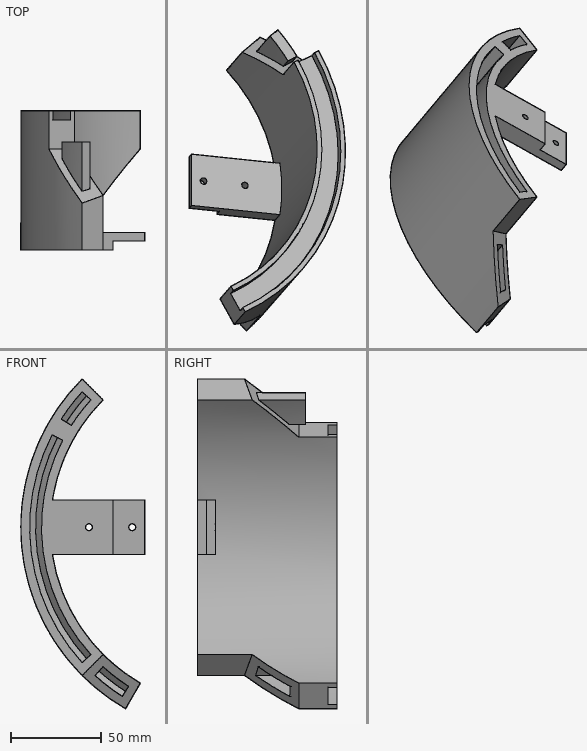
import cadquery as cq
import math

height = 183.2
length = 77.5
wall = 16.5
top_angle = 45
segment_span = 90
joint_span = 15
body_top = top_angle - joint_span
body_bottom = body_top - segment_span
recess_top = top_angle - segment_span

outer_radius = height / (math.sin(math.radians(top_angle)) - math.sin(math.radians(body_bottom)))
mid_radius = outer_radius - wall / 2

ramp_start = 56.2
ramp_angle = 45

slot_width = 6.6
slot_margin = 2.6
deep_slot_depth = 60.5
tab_slot_depth = 22.0

tongue_clearance = 0.2
tongue_width = slot_width - 2 * tongue_clearance
tongue_margin = 2.8
tongue_root = 29.3
tongue_end = 60.1

groove_width = 11.0
groove_depth = 5.1

bracket_width = 30.5
bracket_reach = 68.9
bracket_thickness = 9.9
step_reach = 51.3
step_depth = bracket_thickness / 2
hole_diameter = 3.7
hole_reaches = (38.0, 62.0)


def swept(profile, start_angle, end_angle):
    """Sweep (radius, y) points about the Y axis between two angles."""
    points = [(-radius, y) for radius, y in profile]
    solid = cq.Workplane("XY").polyline(points).close()
    solid = solid.revolve(end_angle - start_angle, (0, 0), (0, 1))
    return solid.rotate((0, 0, 0), (0, 1, 0), start_angle)


def arc_block(width, y_start, y_end, start_angle, end_angle):
    """Rectangular section centred in the wall, swept between two angles."""
    low = mid_radius - width / 2
    high = mid_radius + width / 2
    profile = [(low, y_start), (high, y_start), (high, y_end), (low, y_end)]
    return swept(profile, start_angle, end_angle)


def peaked_slot(depth, start_angle, end_angle):
    """Slot from the front face whose floor rises at 45 degrees to a central ridge."""
    half = slot_width / 2
    low = mid_radius - half
    high = mid_radius + half
    profile = [(low, 0), (high, 0), (high, depth), (mid_radius, depth + half), (low, depth)]
    return swept(profile, start_angle + slot_margin, end_angle - slot_margin)


def joint_tab():
    """Sector beyond the top of the body, cut off by a sloped plane."""
    sector = arc_block(wall, 0, ramp_start, body_top, top_angle)
    rise = outer_radius * math.sin(math.radians(joint_span))
    run = rise * math.tan(math.radians(ramp_angle))
    above_ramp = (
        cq.Workplane("YZ")
        .polyline([(ramp_start, 0), (ramp_start, rise), (ramp_start - run, rise)])
        .close()
        .extrude(-outer_radius)
        .rotate((0, 0, 0), (0, 1, 0), body_top)
    )
    return sector.cut(above_ramp)


def bracket():
    """Stepped plate reaching inwards from the wall, with two screw holes."""
    outline = [
        (wall / 2, 0),
        (step_reach, 0),
        (step_reach, step_depth),
        (bracket_reach, step_depth),
        (bracket_reach, bracket_thickness),
        (wall / 2, bracket_thickness),
    ]
    plate = cq.Workplane("XY").polyline(outline).close().extrude(bracket_width / 2, both=True)
    bore = cq.Workplane("XZ").circle(mid_radius).extrude(-bracket_thickness)
    plate = plate.translate((-outer_radius, 0, 0)).intersect(bore)
    for reach in hole_reaches:
        hole = cq.Workplane("XZ").center(reach - outer_radius, 0).circle(hole_diameter / 2)
        plate = plate.cut(hole.extrude(-bracket_thickness))
    return plate


tab = joint_tab()
recess = tab.rotate((0, 0, 0), (0, 1, 0), -segment_span)
result = arc_block(wall, 0, length, body_bottom, body_top).cut(recess).union(tab)

tongue = arc_block(
    tongue_width, tongue_root, tongue_end, body_top + tongue_margin, top_angle - tongue_margin
)
result = result.union(tongue).union(bracket())

result = result.cut(peaked_slot(deep_slot_depth, recess_top, body_top))
result = result.cut(peaked_slot(deep_slot_depth, body_bottom, recess_top))
result = result.cut(peaked_slot(tab_slot_depth, body_top, top_angle))

groove = arc_block(groove_width, length - groove_depth, length, body_bottom, body_top)
result = result.cut(groove)